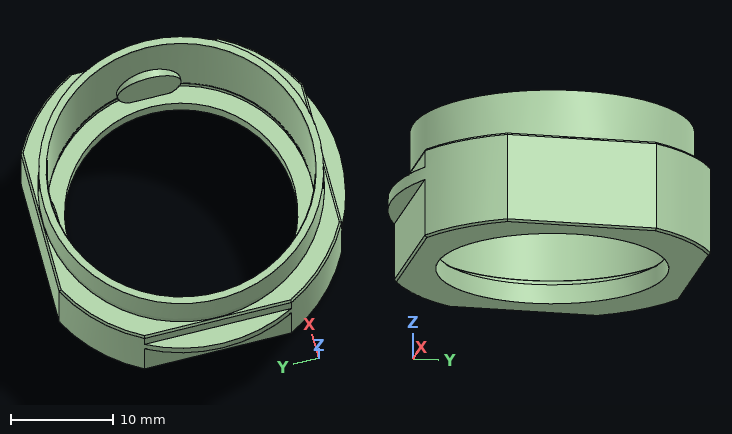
import cadquery as cq

total_height = 13.97
body_radius = 16.13
flat_distance = 14.3
body_height = 9.1
body_chamfer = 0.2

collar_radius = 13.97
foot_radius = 14.05
foot_height = 9.25
foot_cone_top = 9.6

flange_bottom = 5.93
flange_top = 7.2

opening_diameter = 22.85
floor_height = 1.95
bore_radius = 13.15
relief_radius = 13.25
relief_top = 2.9
mouth_radius = 13.25
lead_in_depth = 0.3

pad_diameter = 6.45
pad_face_distance = 12.35
pad_center_height = 4.38


def disc(radius, bottom, top):
    """Cylinder about the Z axis between two heights."""
    return cq.Workplane("XY").workplane(offset=bottom).circle(radius).extrude(top - bottom)


def revolve_profile(points):
    """Solid of revolution about Z from (radius, height) points."""
    return cq.Workplane("XZ").polyline(points).close().revolve(360, (0, 0), (0, 1))


def make_body():
    """Round body with four flats and chamfered end faces."""
    square = cq.Workplane("XY").rect(2 * flat_distance, 2 * flat_distance).extrude(body_height)
    body = disc(body_radius, 0, body_height).intersect(square)
    return body.faces("<Z or >Z").chamfer(body_chamfer)


def make_flange():
    """Round flange segments left standing on the -X and -Y flats only."""
    reach = body_radius + flat_distance
    corner_block = (
        cq.Workplane("XY")
        .box(reach, reach, total_height, centered=False)
        .translate((-body_radius, -body_radius, 0))
    )
    return disc(body_radius, flange_bottom, flange_top).intersect(corner_block)


def make_collar():
    """Thin collar blending through a short cone into a wider foot on the body."""
    profile = [
        (0, 0),
        (collar_radius, 0),
        (collar_radius, body_height),
        (foot_radius, body_height),
        (foot_radius, foot_height),
        (collar_radius, foot_cone_top),
        (collar_radius, total_height),
        (0, total_height),
    ]
    return revolve_profile(profile)


def make_cavity():
    """Stepped bore: opening, shallow relief above the floor, straight bore and lead-in."""
    profile = [
        (0, 0),
        (opening_diameter / 2, 0),
        (opening_diameter / 2, floor_height),
        (relief_radius, floor_height),
        (relief_radius, relief_top),
        (bore_radius, relief_top),
        (bore_radius, total_height - lead_in_depth),
        (mouth_radius, total_height),
        (0, total_height),
    ]
    return revolve_profile(profile)


def make_pad(plane):
    """Round pad inside the wall, flat towards the ring axis."""
    wall_middle = (bore_radius + collar_radius) / 2
    return (
        cq.Workplane(plane)
        .workplane(offset=pad_face_distance)
        .center(0, pad_center_height)
        .circle(pad_diameter / 2)
        .extrude(wall_middle - pad_face_distance)
    )


outside = make_body().union(make_flange()).union(make_collar())

result = outside.cut(make_cavity())
toward_plus_y = cq.Plane(origin=(0, 0, 0), xDir=(-1, 0, 0), normal=(0, 1, 0))
for pad_plane in ("YZ", toward_plus_y):
    result = result.union(make_pad(pad_plane))